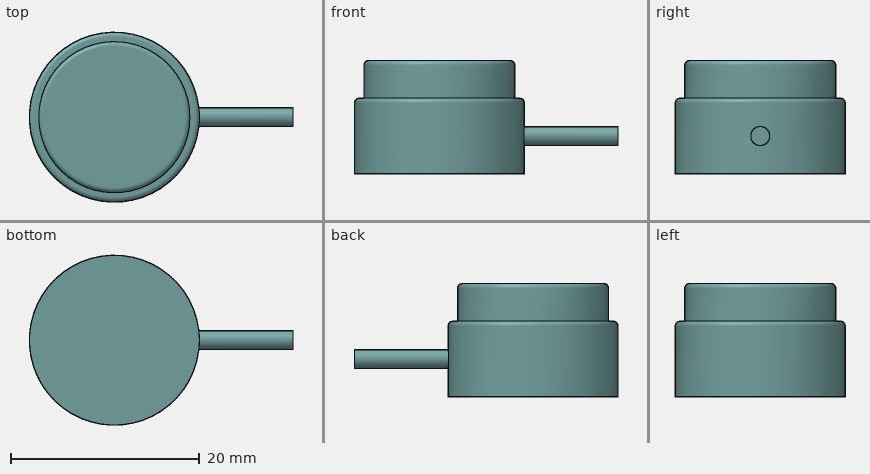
import cadquery as cq

overall_length = 27.9
base_diameter = 18.0
base_height = 8.0
cap_diameter = 16.0
overall_height = 12.0
edge_radius = 0.5
cable_diameter = 2.0

base_radius = base_diameter / 2
cable_axis_height = base_height / 2
cable_end_x = overall_length - base_radius


def rounded_disc(diameter, height):
    """Upright cylinder on Z = 0 with its top rim rounded."""
    disc = cq.Workplane("XY").circle(diameter / 2).extrude(height)
    return disc.faces(">Z").edges().fillet(edge_radius)


base = rounded_disc(base_diameter, base_height)
cap = rounded_disc(cap_diameter, overall_height)

cable = (
    cq.Workplane("YZ")
    .center(0, cable_axis_height)
    .circle(cable_diameter / 2)
    .extrude(cable_end_x)
)

result = base.union(cap).union(cable)